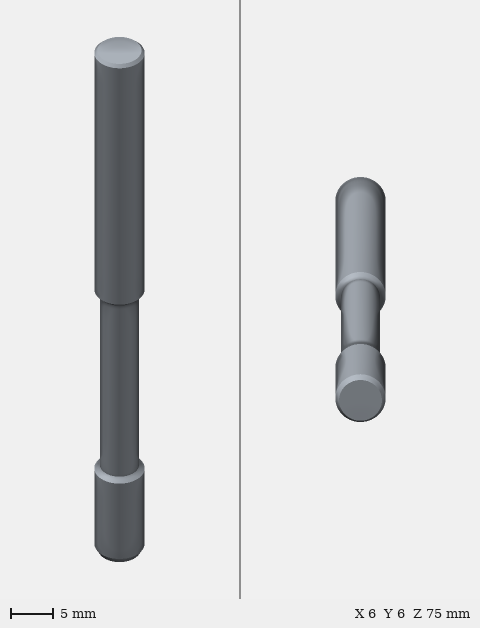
import cadquery as cq

total_length = 75.0
body_diameter = 6.0
neck_diameter = 4.65

head_length = 12.7
shank_bottom = 38.4

head_tip_width = 0.45
head_tip_height = 0.8
shoulder_width = (body_diameter - neck_diameter) / 2
head_shoulder_height = 0.5
shank_end_chamfer = 0.4


def make_head():
    """Cylindrical head, chamfered at its tip and at its shoulder below the neck."""
    head = cq.Workplane("XY").circle(body_diameter / 2).extrude(head_length)
    head = head.faces("<Z").chamfer(head_tip_height, head_tip_width)
    return head.faces(">Z").chamfer(head_shoulder_height, shoulder_width)


def make_shank():
    """Gripping shank with its narrower neck, which stands on the head."""
    grip = (
        cq.Workplane("XY")
        .workplane(offset=shank_bottom)
        .circle(body_diameter / 2)
        .extrude(total_length - shank_bottom)
    )
    grip = grip.faces(">Z").chamfer(shank_end_chamfer)
    grip = grip.faces("<Z").chamfer(shoulder_width)
    neck = (
        cq.Workplane("XY")
        .workplane(offset=head_length)
        .circle(neck_diameter / 2)
        .extrude(shank_bottom - head_length)
    )
    return grip.union(neck)


head = make_head()
shank = make_shank()

result = cq.Compound.makeCompound([head.val(), shank.val()])